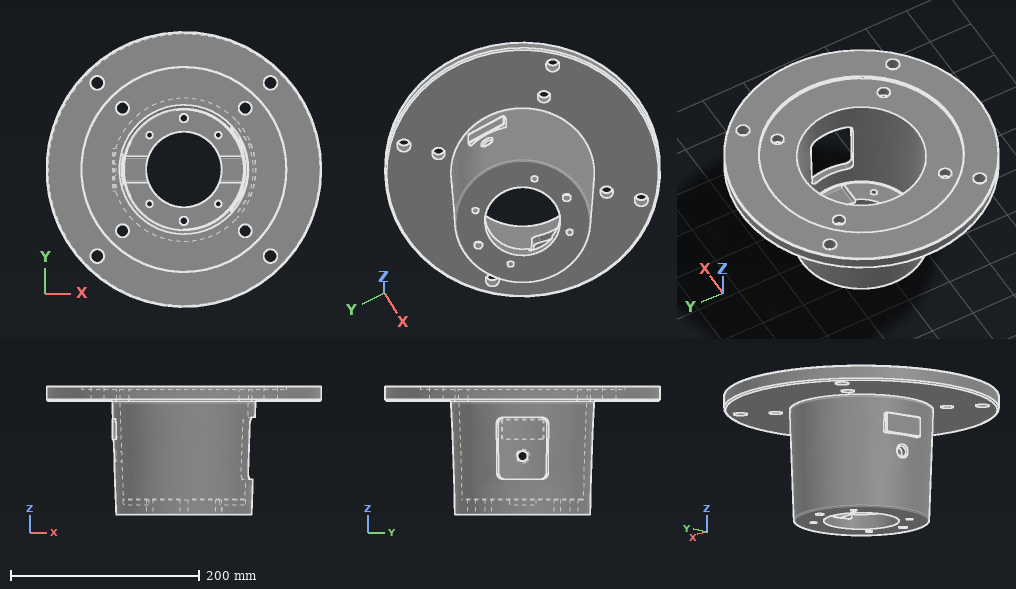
import cadquery as cq
import math

total_height = 136.59
flange_diameter = 292.1
flange_thickness = 15.9
flange_top_chamfer = 0.8
flange_bottom_chamfer = 1.8

wall_draft = math.radians(2)
hub_top_radius = 76.2
neck_height = 1.8
hub_edge_radius = 1.2
cavity_top_radius = 68.6
floor_thickness = 15.9
cavity_floor_fillet = 1.0

recess_diameter = 217.0
recess_depth = 3.2
recess_chamfer = 0.6

diagonals = [45, 135, 225, 315]
y_axis = [90, 270]

outer_bolt_circle = 260.0
outer_bolt_diameter = 14.3
inner_bolt_circle = 184.15
inner_bolt_diameter = 13.5

bore_diameter = 80.0
axis_hole_circle = 109.0
axis_hole_diameter = 8.7
diagonal_hole_circle = 103.2
diagonal_hole_diameter = 6.8
channel_width = 28.6
channel_end_radius = 65.1
channel_depth = 5.0
channel_fillet = 2.3

window_inner_width = 50.4
window_inner_distance = 60.0
window_reach = 20.0
window_flare = math.radians(14)
window_top_drop = 33.2
window_height = 65.6
window_corner_radius = 7.0

pad_width = 45.0
pad_height = 21.8
pad_corner_radius = 2.5
pad_face_distance = 76.2
pad_top_drop = 34.6
pad_root_distance = 70.0
pad_edge_chamfer = 0.8

port_drop = 74.2
port_mouth_diameter = 15.0
port_countersink_depth = 1.8
port_outer_diameter = 11.4
port_inner_diameter = 9.7
port_outer_distance = 74.2
port_inner_distance = 62.0

flange_radius = flange_diameter / 2
flange_bottom = total_height - flange_thickness
neck_bottom = flange_bottom - neck_height
mounting_face = total_height - recess_depth
floor_top = floor_thickness
hub_bottom_radius = hub_top_radius - neck_bottom * math.tan(wall_draft)
cavity_floor_radius = cavity_top_radius - (mounting_face - floor_top) * math.tan(wall_draft)
window_bottom = total_height - window_top_drop - window_height
pad_center = total_height - pad_top_drop - pad_height / 2
port_center = total_height - port_drop


def make_flange():
    flange = cq.Workplane("XY", origin=(0, 0, flange_bottom)).circle(flange_radius).extrude(flange_thickness)
    flange = flange.faces(">Z").chamfer(flange_top_chamfer)
    return flange.faces("<Z").chamfer(flange_bottom_chamfer)


def make_hub():
    profile = [
        (0, 0),
        (hub_bottom_radius, 0),
        (hub_top_radius, neck_bottom),
        (hub_top_radius, flange_bottom),
        (0, flange_bottom),
    ]
    hub = cq.Workplane("XZ").polyline(profile).close().revolve(360, (0, 0), (0, 1))
    return hub.faces("<Z").edges().fillet(hub_edge_radius)


def make_pad():
    pad = (
        cq.Workplane("YZ", origin=(-pad_face_distance, 0, pad_center))
        .rect(pad_width, pad_height)
        .extrude(pad_face_distance - pad_root_distance)
        .edges("|X")
        .fillet(pad_corner_radius)
    )
    return pad.faces("<X").chamfer(pad_edge_chamfer)


def make_cavity():
    profile = [
        (0, floor_top),
        (cavity_floor_radius, floor_top),
        (cavity_top_radius, mounting_face),
        (0, mounting_face),
    ]
    cavity = cq.Workplane("XZ").polyline(profile).close().revolve(360, (0, 0), (0, 1))
    return cavity.faces("<Z").edges().fillet(cavity_floor_fillet)


def make_recess():
    recess_radius = recess_diameter / 2
    mouth_radius = recess_radius + recess_chamfer
    profile = [
        (0, mounting_face),
        (recess_radius, mounting_face),
        (recess_radius, total_height - recess_chamfer),
        (mouth_radius, total_height),
        (0, total_height),
    ]
    return cq.Workplane("XZ").polyline(profile).close().revolve(360, (0, 0), (0, 1))


def make_holes(circle_diameter, hole_diameter, directions, top):
    """Vertical hole cutters on a circle at the given directions, from z = 0 up to top."""
    radius = circle_diameter / 2
    angles = [math.radians(direction) for direction in directions]
    centers = [(radius * math.cos(angle), radius * math.sin(angle)) for angle in angles]
    return cq.Workplane("XY").pushPoints(centers).circle(hole_diameter / 2).extrude(top)


def make_channel():
    channel = (
        cq.Workplane("XY", origin=(0, 0, floor_top - channel_depth))
        .rect(2 * channel_end_radius, channel_width)
        .extrude(channel_depth)
    )
    return channel.faces("<Z").edges().fillet(channel_fillet)


def make_window():
    """Opening with level top and bottom, and sides that spread outward in plan."""
    inner_half_width = window_inner_width / 2
    outer_half_width = inner_half_width + window_reach * math.tan(window_flare)
    window_outer_distance = window_inner_distance + window_reach
    plan = [
        (window_inner_distance, -inner_half_width),
        (window_outer_distance, -outer_half_width),
        (window_outer_distance, outer_half_width),
        (window_inner_distance, inner_half_width),
    ]
    return (
        cq.Workplane("XY", origin=(0, 0, window_bottom))
        .polyline(plan)
        .close()
        .extrude(window_height)
        .faces("|Z")
        .edges("not |Y")
        .fillet(window_corner_radius)
    )


def make_port():
    """Cutter revolved about the horizontal port axis."""
    countersink_end = port_outer_distance - port_countersink_depth
    profile = [
        (-port_inner_distance, 0),
        (-port_inner_distance, port_inner_diameter / 2),
        (-countersink_end, port_outer_diameter / 2),
        (-port_outer_distance, port_mouth_diameter / 2),
        (-pad_face_distance, port_mouth_diameter / 2),
        (-pad_face_distance, 0),
    ]
    return (
        cq.Workplane("XZ", origin=(0, 0, port_center))
        .polyline(profile)
        .close()
        .revolve(360, (0, 0), (1, 0))
    )


body = make_flange().union(make_hub()).union(make_pad())
body = body.cut(make_cavity()).cut(make_recess())
body = body.cut(cq.Workplane("XY").circle(bore_diameter / 2).extrude(floor_top))
body = body.cut(make_channel())
body = body.cut(make_holes(outer_bolt_circle, outer_bolt_diameter, diagonals, total_height))
body = body.cut(make_holes(inner_bolt_circle, inner_bolt_diameter, diagonals, total_height))
body = body.cut(make_holes(axis_hole_circle, axis_hole_diameter, y_axis, floor_top))
body = body.cut(make_holes(diagonal_hole_circle, diagonal_hole_diameter, diagonals, floor_top))
result = body.cut(make_window()).cut(make_port())